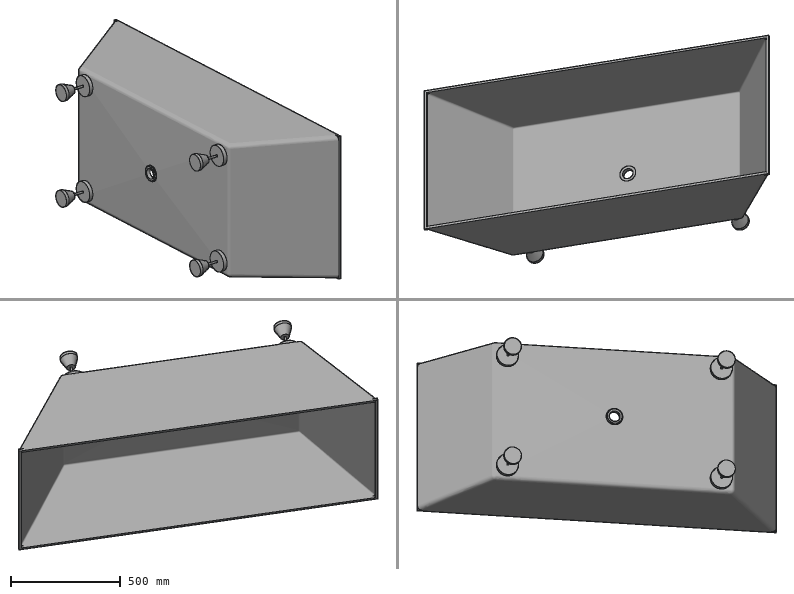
import cadquery as cq
import math

rim_length = 1664.0
rim_width = 710.0
floor_length = 1115.0
floor_width = 662.0
tub_depth = 435.0
rim_height = 12.0
taper_depth = tub_depth - rim_height
edge_radius = 20.0
wall = 12.0

fall_depth = 12.0

drain_diameter = 77.0
drain_bore = 50.0
drain_chamfer = 4.2
drain_end = 20.0

foot_spacing_x = 992.0
foot_spacing_z = 527.0
pad_radius = 50.0
pad_height = 20.0
rod_radius = 5.0
cone_small_radius = 20.0
cone_large_radius = 40.0
cone_start = 82.0
cone_end = 131.0
foot_end = 146.0


def plane_at(y):
    """Workplane parallel to XZ at height y; positive extrusion runs towards -Y."""
    return cq.Workplane("XZ", origin=(0, y, 0))


def rounded_form(inset, floor_y, radius):
    """Tapered tub form up to the rim band, inset from the outer faces, with rounded edges."""
    return (
        plane_at(floor_y)
        .rect(floor_length - 2 * inset, floor_width - 2 * inset)
        .workplane(offset=floor_y - taper_depth)
        .rect(rim_length - 2 * inset, rim_width - 2 * inset)
        .loft(ruled=True)
        .edges("not >Y")
        .fillet(radius)
    )


def rim_block(inset):
    """Straight sharp-cornered band around the opening."""
    return (
        plane_at(tub_depth)
        .rect(rim_length - 2 * inset, rim_width - 2 * inset)
        .extrude(rim_height)
    )


def make_shell():
    """Rounded outer form with its rim band, hollowed from the rim down to a sloping floor."""
    outside = rounded_form(0, 0, edge_radius).union(rim_block(0)).union(floor_fall(0, 0))
    cavity = rounded_form(wall, wall, edge_radius - wall).union(rim_block(wall))
    return outside.cut(cavity.union(floor_fall(wall, wall)))


def flat_half(floor_size, rim_size):
    """Half size of the flat floor that remains inside the rounded floor edges."""
    flare = math.atan((rim_size - floor_size) / 2 / taper_depth)
    turn = math.pi / 2 - flare
    return floor_size / 2 - edge_radius * math.tan(turn / 2)


def floor_fall(inset, floor_y):
    """Low pyramid on the floor, with its tip on the drain axis."""
    half_x = flat_half(floor_length, rim_length) - inset
    half_z = flat_half(floor_width, rim_width) - inset
    corners = [
        cq.Vector(-half_x, floor_y, -half_z),
        cq.Vector(half_x, floor_y, -half_z),
        cq.Vector(half_x, floor_y, half_z),
        cq.Vector(-half_x, floor_y, half_z),
    ]
    tip = cq.Vector(0, floor_y - fall_depth, 0)
    outlines = [corners]
    for index, corner in enumerate(corners):
        outlines.append([corner, corners[index - 1], tip])
    faces = [cq.Face.makeFromWires(cq.Wire.makePolygon(points, close=True)) for points in outlines]
    return cq.Workplane(cq.Solid.makeSolid(cq.Shell.makeShell(faces)))


def make_foot(x, z):
    """Mounting pad, threaded rod and conical foot, revolved about the foot axis."""
    profile = [
        (0, 0),
        (pad_radius, 0),
        (pad_radius, -pad_height),
        (rod_radius, -pad_height),
        (rod_radius, -cone_start),
        (cone_small_radius, -cone_start),
        (cone_large_radius, -cone_end),
        (cone_large_radius, -foot_end),
        (0, -foot_end),
    ]
    foot = cq.Workplane("XY").polyline(profile).close().revolve(360, (0, 0), (0, 1))
    return foot.translate((x, 0, z))


def make_tub():
    """Hollow tub with its four feet and an opening for the drain fitting."""
    tub = make_shell()
    for x in (-foot_spacing_x / 2, foot_spacing_x / 2):
        for z in (-foot_spacing_z / 2, foot_spacing_z / 2):
            tub = tub.union(make_foot(x, z))
    opening = plane_at(wall).circle(drain_diameter / 2).extrude(wall + drain_end)
    return tub.cut(opening)


def make_drain():
    """Ring that fills the drain opening, flush inside and proud of the floor outside."""
    inner_end = wall - fall_depth
    return (
        plane_at(inner_end)
        .circle(drain_diameter / 2)
        .circle(drain_bore / 2)
        .extrude(inner_end + drain_end)
        .faces("<Y")
        .edges(cq.selectors.RadiusNthSelector(-1))
        .chamfer(drain_chamfer)
    )


tub = make_tub()
drain = make_drain()
result = cq.Compound.makeCompound([tub.solids().val(), drain.solids().val()])